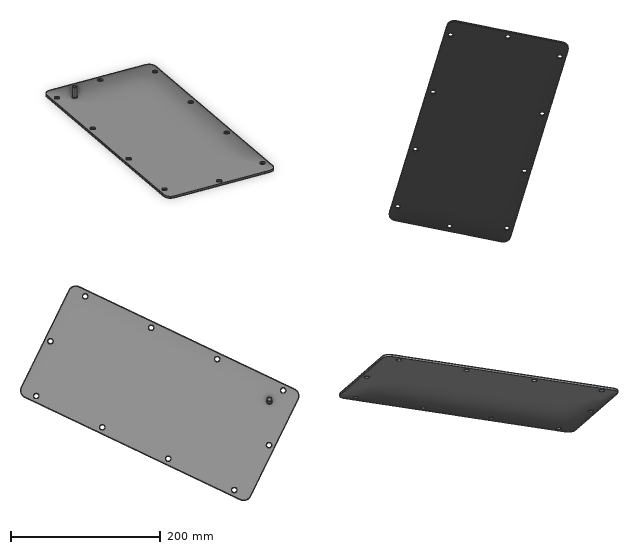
import cadquery as cq

length = 341.0
width = 167.0
thickness = 3.0
corner_radius = 10.2

hole_diameter = 7.0
hole_pitch = 98.2
holes_per_row = 4
row_offset = 75.5
end_hole_offset = 162.5

total_height = 19.0
stud_x = -137.5
stud_y = -53.5
stud_diameter = 6.0
collar_diameter = 7.5
collar_height = 0.7
stud_chamfer = 0.5


def make_plate():
    """Rounded plate with its underside at Z = 0."""
    plate = cq.Workplane("XY").rect(length, width).extrude(thickness)
    return plate.edges("|Z").fillet(corner_radius)


def hole_positions():
    """A row of holes along each long side and one hole at each end."""
    first_x = -hole_pitch * (holes_per_row - 1) / 2
    points = [(-end_hole_offset, 0), (end_hole_offset, 0)]
    for y in (-row_offset, row_offset):
        for i in range(holes_per_row):
            points.append((first_x + i * hole_pitch, y))
    return points


def make_stud():
    """Chamfered round stud with a low collar at its foot, rooted in the plate."""
    base = cq.Workplane("XY").center(stud_x, stud_y)
    stud = base.circle(stud_diameter / 2).extrude(total_height).faces(">Z").chamfer(stud_chamfer)
    collar = base.circle(collar_diameter / 2).extrude(thickness + collar_height)
    return stud.union(collar)


holes = cq.Workplane("XY").pushPoints(hole_positions()).circle(hole_diameter / 2).extrude(thickness)
result = make_plate().cut(holes).union(make_stud())